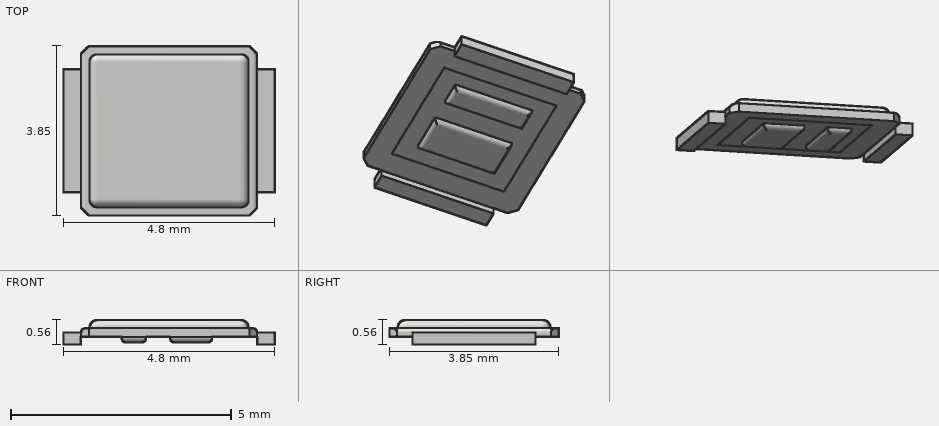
import cadquery as cq

overall_length = 4.8
overall_height = 0.56

foot_length = 0.4
foot_width = 2.8
foot_height = 0.28

plate_length = overall_length - 2 * foot_length
plate_width = 3.85
plate_bottom = 0.18
plate_top = 0.375
plate_thickness = plate_top - plate_bottom
corner_chamfer = 0.18
plate_edge_radius = 0.1

dome_length = 3.615
dome_width = 3.475
dome_height = overall_height - plate_top
dome_radius = 0.18

die_length = 2.88
die_width = 2.8
die_thickness = 0.095
pad_width = 1.92
pad_height = 0.13
pad_edge_radius = 0.105
pad_spans = [(-1.08, -0.525), (0.02, 0.98)]


def block(length, width, height, bottom, center_x=0):
    """Box centred on Y = 0, standing on the given Z level."""
    base = cq.Workplane("XY").workplane(offset=bottom).center(center_x, 0)
    return base.rect(length, width).extrude(height)


def make_plate():
    plate = block(plate_length, plate_width, plate_thickness, plate_bottom)
    plate = plate.faces(">Z").edges("|Y").fillet(plate_edge_radius)
    outline = block(plate_length, plate_width, plate_thickness, plate_bottom)
    return plate.intersect(outline.edges("|Z").chamfer(corner_chamfer))


def make_dome():
    dome = block(dome_length, dome_width, dome_height, plate_top)
    return dome.edges("|Z or >Z").fillet(dome_radius)


def make_die_blank():
    return block(die_length, die_width, die_thickness, plate_bottom)


def make_can():
    can = make_plate().union(make_dome())
    foot_center = (overall_length - foot_length) / 2
    for side in (-1, 1):
        can = can.union(block(foot_length, foot_width, foot_height, 0, side * foot_center))
    return can.cut(make_die_blank())


def make_pad(start_x, end_x):
    """Rectangular pad with rounded lower edges, spanning start_x to end_x."""
    center_x = (start_x + end_x) / 2
    pad = block(end_x - start_x, pad_width, pad_height, plate_bottom - pad_height, center_x)
    return pad.faces("<Z").edges().fillet(pad_edge_radius)


def make_die():
    die = make_die_blank()
    for start_x, end_x in pad_spans:
        die = die.union(make_pad(start_x, end_x))
    return die


can = make_can()
die = make_die()

result = cq.Compound.makeCompound([can.val(), die.val()])